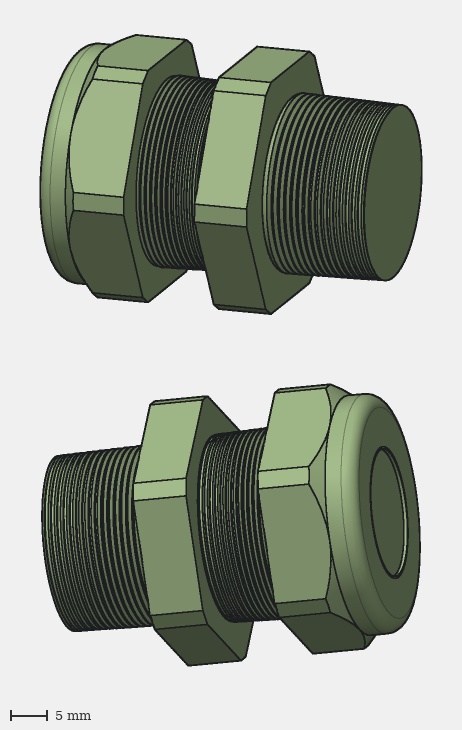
import cadquery as cq
import math


cap_length = 13.3
hex_start = 23.55
hex_end = 31.08
total_length = 45.95

across_flats = 33.0
across_cut_corners = 36.65
across_sharp_corners = across_flats / math.cos(math.radians(30))
flat_radius = across_flats / 2

dome_radius = 1.98
collar_length = 4.25
cone_end = 6.0
corner_radius = 18.4
bore_radius = 9.05

recess_radius = 8.8
recess_depth = 0.5

flank_slope = math.tan(math.radians(60))

cap_thread_pitch = 0.76
cap_thread_root_radius = 12.65
cap_thread_first_root = 13.55
cap_thread_grooves = 14
cap_thread_start_radius = 13.25
cap_thread_end_radius = 12.9

entry_thread_pitch = 0.89
entry_thread_root_radius = 11.7
entry_thread_first_root = 32.35
entry_thread_grooves = 16
entry_thread_start_radius = 12.45
entry_thread_end_radius = 12.1


def hexagon(start, end):
    """Hexagonal prism along X with flats facing +Z and -Z, and its six corners cut flat."""
    length = end - start
    plane = cq.Workplane("YZ", origin=(start, 0, 0))
    corner_cutter = plane.polygon(6, across_cut_corners, circumscribed=True).extrude(length)
    return plane.polygon(6, across_sharp_corners).extrude(length).intersect(corner_cutter)


def revolve_about_x(outline):
    """Full turn about the X axis of an outline given in (x, radius)."""
    return outline.close().revolve(360, (0, 0, 0), (1, 0, 0))


def make_cap_nut():
    """Collar with a rounded front edge, then a hexagon whose front corners are trimmed by a cone."""
    arc_inset = dome_radius * (1 - math.sqrt(0.5))
    collar = revolve_about_x(
        cq.Workplane("XZ")
        .lineTo(0, flat_radius - dome_radius)
        .threePointArc((arc_inset, flat_radius - arc_inset), (dome_radius, flat_radius))
        .lineTo(collar_length, flat_radius)
        .lineTo(collar_length, 0)
    )
    cone_envelope = revolve_about_x(
        cq.Workplane("XZ")
        .moveTo(collar_length, 0)
        .lineTo(collar_length, flat_radius)
        .lineTo(cone_end, corner_radius)
        .lineTo(cap_length, corner_radius)
        .lineTo(cap_length, 0)
    )
    head = hexagon(collar_length, cap_length).intersect(cone_envelope)
    bore = cq.Workplane("YZ").circle(bore_radius).extrude(cap_length)
    return collar.union(head).cut(bore)


def make_thread(start, end, start_radius, end_radius, root_radius, first_root, pitch, grooves, neck):
    """Solid thread along X. With a neck, a concave arc rises from root radius to the first crest."""
    taper = (start_radius - end_radius) / (end - start)
    outline = cq.Workplane("XZ").moveTo(start, 0)
    if neck:
        outline = outline.lineTo(start, root_radius)
    for index in range(grooves):
        root = first_root + index * pitch
        depth = start_radius - taper * (root - start) - root_radius
        front_run = min(depth / (flank_slope - taper), root - start)
        rear_run = min(depth / (flank_slope + taper), end - root)
        front_crest = (root - front_run, root_radius + flank_slope * front_run)
        rear_crest = (root + rear_run, root_radius + flank_slope * rear_run)
        if neck and index == 0:
            chord_run = front_crest[0] - start
            chord_rise = front_crest[1] - root_radius
            neck_radius = (chord_run**2 + chord_rise**2) / (2 * chord_rise)
            outline = outline.radiusArc(front_crest, neck_radius)
        else:
            outline = outline.lineTo(*front_crest)
        outline = outline.lineTo(root, root_radius).lineTo(*rear_crest)
    return revolve_about_x(outline.lineTo(end, end_radius).lineTo(end, 0))


def make_body():
    """Core filling the cap bore, recessed in front, then thread, hexagon and thread along X."""
    core = cq.Workplane("YZ").circle(bore_radius).extrude(cap_length)
    recess = cq.Workplane("YZ").circle(recess_radius).extrude(recess_depth)
    cap_thread = make_thread(
        cap_length,
        hex_start,
        cap_thread_start_radius,
        cap_thread_end_radius,
        cap_thread_root_radius,
        cap_thread_first_root,
        cap_thread_pitch,
        cap_thread_grooves,
        neck=False,
    )
    entry_thread = make_thread(
        hex_end,
        total_length,
        entry_thread_start_radius,
        entry_thread_end_radius,
        entry_thread_root_radius,
        entry_thread_first_root,
        entry_thread_pitch,
        entry_thread_grooves,
        neck=True,
    )
    return core.cut(recess).union(cap_thread).union(hexagon(hex_start, hex_end)).union(entry_thread)


cap_nut = make_cap_nut()
body = make_body()
result = cq.Compound.makeCompound([cap_nut.val(), body.val()])